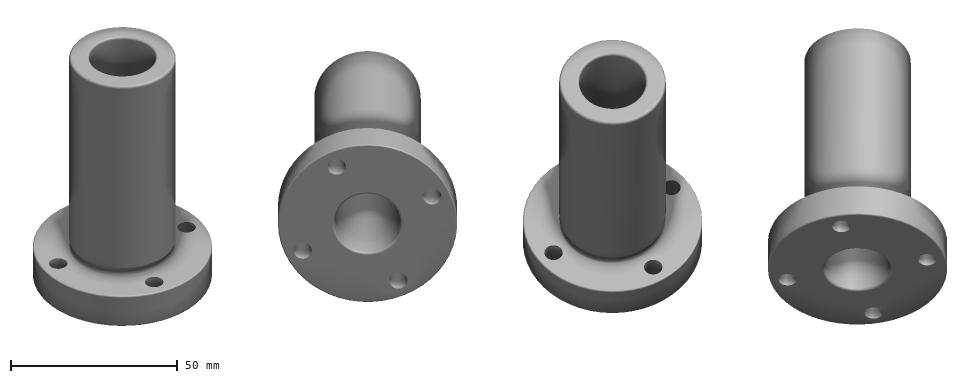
import cadquery as cq

total_height = 79.85
flange_diameter = 53.7
flange_height = 10.9
sleeve_diameter = 31.95
bore_diameter = 20.0

flange_edge_radius = 0.5
sleeve_edge_radius = 0.8
bore_edge_radius = 0.7

relief_height = 2.8
relief_depth = 0.5
relief_taper_length = 1.6
relief_land_length = 0.2

hole_count = 4
hole_diameter = 5.5
hole_circle_diameter = 42.95

flange_radius = flange_diameter / 2
sleeve_radius = sleeve_diameter / 2
bore_radius = bore_diameter / 2
relief_top = flange_height + relief_height


def make_turned_body():
    """Flange and sleeve revolved as one piece, with the relief groove in the outline."""
    land_radius = sleeve_radius - relief_depth
    land_top = (land_radius, relief_top - relief_taper_length)
    land_bottom = (land_radius, relief_top - relief_taper_length - relief_land_length)
    groove_mouth = (sleeve_radius, flange_height)
    root = cq.Edge.makeTangentArc(
        cq.Vector(*land_bottom), cq.Vector(0, -1), cq.Vector(*groove_mouth)
    )
    root_middle = root.positionAt(0.5).toTuple()[:2]
    return (
        cq.Workplane("XZ")
        .moveTo(bore_radius, 0)
        .lineTo(flange_radius, 0)
        .lineTo(flange_radius, flange_height)
        .lineTo(*groove_mouth)
        .threePointArc(root_middle, land_bottom)
        .lineTo(*land_top)
        .lineTo(sleeve_radius, relief_top)
        .lineTo(sleeve_radius, total_height)
        .lineTo(bore_radius, total_height)
        .close()
        .revolve(360, (0, 0), (0, 1))
    )


def round_edges(body):
    """Round both rims of the flange, the sleeve end and both mouths of the bore."""
    bore_mouths = body.faces("<Z or >Z").edges(cq.selectors.RadiusNthSelector(0))
    body = bore_mouths.fillet(bore_edge_radius)
    sleeve_rim = body.faces(">Z").edges(cq.selectors.RadiusNthSelector(-1))
    body = sleeve_rim.fillet(sleeve_edge_radius)
    flange_rims = body.edges(cq.selectors.RadiusNthSelector(-1))
    return flange_rims.fillet(flange_edge_radius)


def drill_mounting_holes(body):
    """Drill the ring of holes straight through the flange."""
    holes = (
        cq.Workplane("XY")
        .polarArray(hole_circle_diameter / 2, 0, 360, hole_count)
        .circle(hole_diameter / 2)
        .extrude(flange_height)
    )
    return body.cut(holes)


housing = drill_mounting_holes(round_edges(make_turned_body()))

result = cq.Compound.makeCompound([housing.val()])